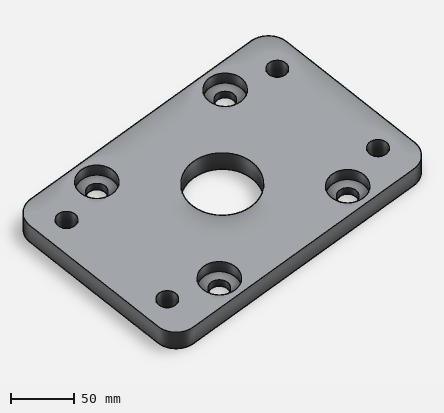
import cadquery as cq

length = 280.0
width = 186.0
thickness = 20.0
corner_radius = 20.0

bore_diameter = 65.5

end_hole_diameter = 18.0
end_hole_spacing_x = 115.0
end_hole_spacing_y = 230.0

screw_hole_diameter = 18.0
counterbore_diameter = 35.0
counterbore_depth = 12.0
screw_spacing = 140.0

plate = (
    cq.Workplane("XY")
    .box(width, length, thickness)
    .edges("|Z")
    .fillet(corner_radius)
)

bored_plate = plate.faces(">Z").workplane(origin=(0, 0, 0)).hole(bore_diameter)

drilled_plate = (
    bored_plate.faces(">Z")
    .workplane(origin=(0, 0, 0))
    .rarray(end_hole_spacing_x, end_hole_spacing_y, 2, 2)
    .hole(end_hole_diameter)
)

result = (
    drilled_plate.faces(">Z")
    .workplane(origin=(0, 0, 0))
    .rarray(screw_spacing, screw_spacing, 2, 2)
    .cboreHole(screw_hole_diameter, counterbore_diameter, counterbore_depth)
)